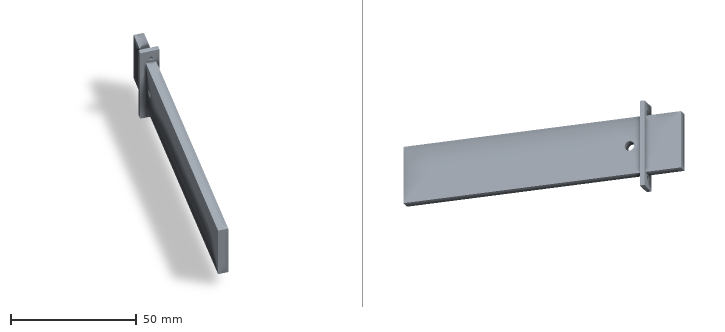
import cadquery as cq

blade_length = 118.0
blade_thickness = 4.2
blade_height = 24.0

flange_start = 15.0
flange_thickness = 2.0
flange_width = 8.0
flange_height = 36.0
flange_offset = -0.5

blade_hole_diameter = 4.0
blade_hole_x = 22.0

screw_hole_diameter = 1.8
screw_hole_spacing = 28.0

blade = cq.Workplane("XY").box(
    blade_length, blade_thickness, blade_height, centered=(False, True, True)
)

flange = (
    cq.Workplane("YZ", origin=(flange_start, 0, 0))
    .center(flange_offset, 0)
    .rect(flange_width, flange_height)
    .extrude(flange_thickness)
)
screw_holes = (
    cq.Workplane("YZ", origin=(flange_start, 0, 0))
    .pushPoints([(0, screw_hole_spacing / 2), (0, -screw_hole_spacing / 2)])
    .circle(screw_hole_diameter / 2)
    .extrude(flange_thickness)
)
flange = flange.cut(screw_holes)

blade_hole = (
    cq.Workplane("XZ", origin=(blade_hole_x, 0, 0))
    .circle(blade_hole_diameter / 2)
    .extrude(blade_thickness, both=True)
)

result = blade.union(flange).cut(blade_hole)